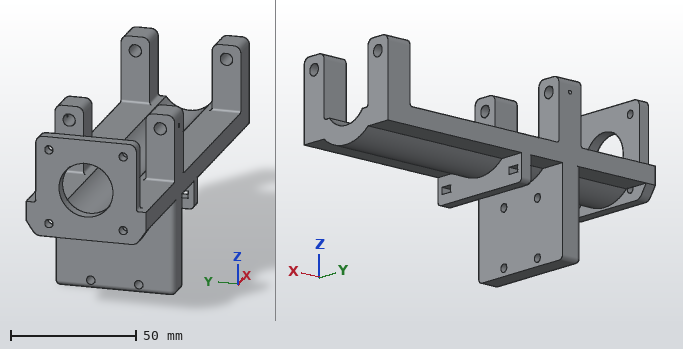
import cadquery as cq

length = 144.0
width = 50.0
base_thickness = 8.0
top_z = 36.0

flange_size = 42.0
flange_thickness = 5.0
flange_top_radius = 3.0
flange_bottom_radius = 4.0
pilot_diameter = 22.5
motor_hole_spacing = 31.0
motor_hole_diameter = 3.4
axis_z = top_z - flange_size / 2
flange_bottom_z = top_z - flange_size

trough_radius = 12.0
trough_wall = 8.0

post_length = 12.0
post_width = 12.0
post_starts = (40.0, length - post_length)
post_top_radius = 3.0
foot_fillet = 1.0
post_hole_diameter = 5.1
post_hole_drop = 6.0
post_hole_z = top_z - post_hole_drop
post_y = (width - post_width) / 2
pin_hole_diameter = 1.5

selection_margin = 0.1
sides = (-1, 1)

mount_start = 40.0
mount_thickness = 10.0
mount_depth = 40.0
mount_fillet = 2.0
tab_start = 67.0
tab_thickness = 5.0
tab_depth = 12.0
tab_fillet = 2.0
tab_slot_width = 5.0
tab_slot_height = 3.0
tab_slot_y = 20.0
tab_slot_bottom_z = -7.5
mount_hole_diameter = 3.5
mount_hole_half_spacing = 10.0
mount_hole_depths = (11.5, 36.5)


def block(x, y, z, dx, dy, dz):
    """Box with its low X and Z corner at x and z, centred on y."""
    return cq.Workplane("XY").box(dx, dy, dz, centered=(False, True, False)).translate((x, y, z))


def rod(x, y, z, diameter, reach):
    """Cylinder along +X starting at x."""
    return cq.Workplane("YZ", origin=(x, y, z)).circle(diameter / 2).extrude(reach)


def make_base():
    base = block(0, 0, 0, length, width, base_thickness)
    wall_diameter = 2 * (trough_radius + trough_wall)
    wall = rod(0, 0, axis_z, wall_diameter, length)
    above_base = block(0, 0, 0, length, wall_diameter, wall_diameter)
    return base.union(wall.cut(above_base))


def make_post(x, side):
    post = block(x, side * post_y, 0, post_length, post_width, top_z)
    return post.edges("|X and >Z").fillet(post_top_radius)


def select_box(x_range, y_range, z_range):
    """Select edges lying wholly inside the given ranges, with a small margin."""
    low, high = zip(x_range, y_range, z_range)
    return cq.selectors.BoxSelector(
        tuple(value - selection_margin for value in low),
        tuple(value + selection_margin for value in high),
        boundingbox=True,
    )


def fillet_post_feet(body):
    """Round the corners between the base top and the posts, except on flush outer faces."""
    top_face = (base_thickness, base_thickness)
    for x in post_starts:
        for side in sides:
            y = side * post_y
            x_range = (x, x + post_length)
            foot = select_box(x_range, (y - post_width / 2, y + post_width / 2), top_face)
            body = body.edges(foot).fillet(foot_fillet)
    return body


def make_flange():
    """Motor flange: square plate joined to the full-width base end."""
    plate = block(0, 0, 0, flange_thickness, flange_size, top_z)
    plate = plate.edges("|X and >Z").fillet(flange_top_radius)
    lower = (
        cq.Workplane("YZ")
        .moveTo(-width / 2, 0)
        .lineTo(-flange_size / 2, flange_bottom_z)
        .lineTo(flange_size / 2, flange_bottom_z)
        .lineTo(width / 2, 0)
        .close()
        .extrude(flange_thickness)
        .edges("|X and <Z")
        .fillet(flange_bottom_radius)
    )
    return plate.union(lower)


def make_shoulder_fillet(side):
    """Concave quarter-round between the flange side and the base top."""
    y = side * flange_size / 2
    outer = side * (flange_size / 2 + foot_fillet)
    corner = block(0, y + side * foot_fillet / 2, base_thickness, flange_thickness, foot_fillet, foot_fillet)
    return corner.cut(rod(0, outer, base_thickness + foot_fillet, 2 * foot_fillet, flange_thickness))


def make_mount():
    mount = block(mount_start, 0, -mount_depth, mount_thickness, width, mount_depth)
    mount = mount.edges("|X and <Z").fillet(mount_fillet)
    return mount.faces("<X").edges("not >Z").fillet(mount_fillet)


def make_tab():
    tab = block(tab_start, 0, -tab_depth, tab_thickness, width, tab_depth)
    return tab.edges("|X and <Z").fillet(tab_fillet)


def cut_trough(body):
    return body.cut(rod(flange_thickness, 0, axis_z, 2 * trough_radius, length))


def cut_motor_holes(body):
    body = body.cut(rod(0, 0, axis_z, pilot_diameter, flange_thickness))
    offsets = (-motor_hole_spacing / 2, motor_hole_spacing / 2)
    for y in offsets:
        for dz in offsets:
            body = body.cut(rod(0, y, axis_z + dz, motor_hole_diameter, flange_thickness))
    return body


def cut_post_holes(body):
    for side in sides:
        body = body.cut(rod(post_starts[0], side * post_y, post_hole_z, post_hole_diameter, length))
    return body


def cut_pin_holes(body):
    """Cross holes from the outer faces of the mid-length posts into their long holes."""
    pin_x = post_starts[0] + post_length / 2
    for side in sides:
        pin = (
            cq.Workplane("XZ", origin=(pin_x, side * width / 2, post_hole_z))
            .circle(pin_hole_diameter / 2)
            .extrude(side * post_width / 2)
        )
        body = body.cut(pin)
    return body


def cut_mount_holes(body):
    for depth in mount_hole_depths:
        for y in (-mount_hole_half_spacing, mount_hole_half_spacing):
            body = body.cut(rod(mount_start, y, -depth, mount_hole_diameter, mount_thickness))
    return body


def cut_tab_slots(body):
    """Rectangular slots through the tab near both of its ends."""
    for y in (-tab_slot_y, tab_slot_y):
        slot = block(tab_start, y, tab_slot_bottom_z, tab_thickness, tab_slot_width, tab_slot_height)
        body = body.cut(slot)
    return body


body = make_base()
for start in post_starts:
    for side in sides:
        body = body.union(make_post(start, side))
body = cut_trough(body)
body = fillet_post_feet(body)
body = body.union(make_flange())
for side in sides:
    body = body.union(make_shoulder_fillet(side))
body = body.union(make_mount()).union(make_tab())
body = cut_motor_holes(body)
body = cut_post_holes(body)
body = cut_pin_holes(body)
body = cut_mount_holes(body)
result = cut_tab_slots(body)